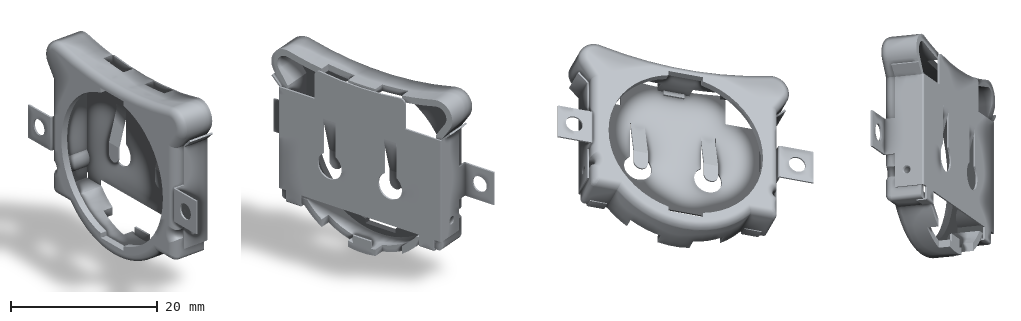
import cadquery as cq
import math


housing_depth = 5.45
wall = 1.0
front_edge_radius = 1.03
side_x = 13.35
waist_z = 8.45
foot_z = -8.95
foot_corner_radius = 0.5
lobe_x = 12.65
lobe_z = 11.8
lobe_radius = 2.45
crest_z = 12.75
bowl_z = -0.77
bowl_radius = 12.6
groove_x = 13.48
groove_z = -4.95
groove_radius = 0.75
window_radius = 11.1
slot_half_width = 2.5
slot_half_height = 11.5
catch_half_width = 1.5
catch_tip_z = 11.13
catch_thickness = 0.3
notch_inner_x = 2.28
notch_outer_x = 6.7
notch_depth = 1.6

sheet = 0.25
plate_back_y = 5.9
plate_front_y = plate_back_y - sheet
wall_outer_x = side_x + sheet
wall_front_y = 1.73
wall_bottom_z = -7.27
tongue_half_width = 7.53
tongue_inset = 0.25
tongue_corner_radius = 0.75
flare_reach = 1.45
leg_inner_x = 9.88
leg_outer_x = 12.3
hook_front_y = 4.4
hook_bottom_z = -9.1
hook_top_z = hook_bottom_z + sheet
terminal_end_x = 18.35
terminal_half_height = 2.55
terminal_hole_x = 16.0
terminal_hole_diameter = 2.4
finger_x = 5.05
finger_width = 2.02
finger_outer_gap = 0.1
finger_root_z = 5.8
finger_bend_z = 4.92
finger_flat_z = 0.35
finger_tip_z = -1.3
finger_slope = math.radians(15.5)
finger_hole_radius = 2.0
dimple_y = 3.4
dimple_radius = groove_radius - (groove_x - side_x)
dimple_hollow_radius = 0.45
dimple_mouth_radius = 0.6

crest_rise = crest_z - lobe_z
top_radius = (lobe_x**2 + crest_rise**2 - lobe_radius**2) / (2 * (lobe_radius - crest_rise))

SIDES = (-1, 1)


def front_plane(y):
    """Sketch plane facing -Y at depth y; extruding by a negative length goes towards +Y."""
    return cq.Workplane("XZ", origin=(0, y, 0))


def box(x_range, y_range, z_range):
    """Box spanning the three coordinate ranges."""
    (x0, x1), (y0, y1), (z0, z1) = x_range, y_range, z_range
    return cq.Workplane("XY").box(x1 - x0, y1 - y0, z1 - z0, centered=False).translate((x0, y0, z0))


def mirrored_pair(body):
    """The body and its mirror image on the other side of X = 0."""
    return body.union(body.mirror("YZ"))


def polar(centre, radius, angle):
    """Point at the given angle and distance from a centre."""
    return (centre[0] + radius * math.cos(angle), centre[1] + radius * math.sin(angle))


def housing_outline(inset):
    """Closed housing outline, moved inwards by `inset`."""
    side = side_x - inset
    foot = foot_z + inset
    lobe_r = lobe_radius - inset
    bowl_r = bowl_radius - inset
    groove_r = groove_radius + inset
    lobe = (lobe_x, lobe_z)

    top_angle = math.atan2(crest_z + top_radius - lobe_z, -lobe_x)

    waist_to_lobe = math.hypot(side_x - lobe_x, lobe_z - waist_z)
    neck_angle = math.atan2(waist_z - lobe_z, side_x - lobe_x) + math.acos(lobe_radius / waist_to_lobe)
    neck_x, neck_z = polar(lobe, lobe_r, neck_angle)
    waist = neck_z + (neck_x - side) / math.tan(neck_angle)

    groove_half = math.sqrt(groove_r**2 - (groove_x - side) ** 2)
    bowl_x = math.sqrt(bowl_r**2 - (bowl_z - foot) ** 2)
    lobe_top = polar(lobe, lobe_r, top_angle)
    lobe_mid = polar(lobe, lobe_r, (top_angle + neck_angle) / 2)

    def left(point):
        return (-point[0], point[1])

    return (
        front_plane(inset)
        .moveTo(*left(lobe_top))
        .threePointArc((0, crest_z - inset), lobe_top)
        .threePointArc(lobe_mid, (neck_x, neck_z))
        .lineTo(side, waist)
        .lineTo(side, groove_z + groove_half)
        .threePointArc((groove_x - groove_r, groove_z), (side, groove_z - groove_half))
        .lineTo(side, foot)
        .lineTo(bowl_x, foot)
        .threePointArc((0, bowl_z - bowl_r), (-bowl_x, foot))
        .lineTo(-side, foot)
        .lineTo(-side, groove_z - groove_half)
        .threePointArc((groove_r - groove_x, groove_z), (-side, groove_z + groove_half))
        .lineTo(-side, waist)
        .lineTo(-neck_x, neck_z)
        .threePointArc(left(lobe_mid), left(lobe_top))
        .close()
    )


def make_housing():
    """Shell with a round window in front, two notches per rim, hook recesses and two catches."""
    body = housing_outline(0).extrude(-housing_depth)
    reach = foot_corner_radius / 2
    for side in SIDES:
        corner = cq.selectors.BoxSelector(
            (side * side_x - reach, 0, foot_z - reach), (side * side_x + reach, housing_depth, foot_z + reach)
        )
        body = body.edges("|Y").edges(corner).fillet(foot_corner_radius)
    body = body.faces("<Y").edges().fillet(front_edge_radius)
    body = body.cut(housing_outline(wall).extrude(wall - housing_depth))
    body = body.cut(front_plane(0).circle(window_radius).extrude(-wall))
    slot_x = (-slot_half_width, slot_half_width)
    body = body.cut(box(slot_x, (0, wall), (-slot_half_height, slot_half_height)))
    for side in SIDES:
        notch_x = sorted((side * notch_inner_x, side * notch_outer_x))
        notch_y = (housing_depth - notch_depth, housing_depth)
        body = body.cut(box(notch_x, notch_y, (bowl_z - bowl_radius, lobe_z + lobe_radius)))
        recess_x = sorted((side * leg_inner_x, side * leg_outer_x))
        body = body.cut(box(recess_x, (hook_front_y, housing_depth), (foot_z, hook_top_z)))
    return body.union(make_catches())


def make_catches():
    """Thin lips at the back rim, above and below the cell."""
    catch_x = (-catch_half_width, catch_half_width)
    catch_y = (housing_depth - catch_thickness, housing_depth)
    upper = box(catch_x, catch_y, (catch_tip_z, crest_z - wall / 2))
    lower = box(catch_x, catch_y, (bowl_z - bowl_radius + wall / 2, -catch_tip_z))
    return upper.union(lower)


def make_channel():
    """Back plate and both side walls, with rounded bends between them."""
    bend_mid = sheet * math.sqrt(0.5)
    return (
        cq.Workplane("XY", origin=(0, 0, wall_bottom_z))
        .moveTo(side_x, wall_front_y)
        .lineTo(wall_outer_x, wall_front_y)
        .lineTo(wall_outer_x, plate_front_y)
        .threePointArc((side_x + bend_mid, plate_front_y + bend_mid), (side_x, plate_back_y))
        .lineTo(-side_x, plate_back_y)
        .threePointArc((-side_x - bend_mid, plate_front_y + bend_mid), (-wall_outer_x, plate_front_y))
        .lineTo(-wall_outer_x, wall_front_y)
        .lineTo(-side_x, wall_front_y)
        .lineTo(-side_x, plate_front_y)
        .lineTo(side_x, plate_front_y)
        .close()
        .extrude(waist_z - wall_bottom_z)
    )


def make_tongue():
    """Narrower top of the plate: it follows the concave top of the housing and has rounded corners."""
    arc_radius = top_radius + tongue_inset
    arc_centre_z = crest_z + top_radius
    corner_z = arc_centre_z - math.sqrt(arc_radius**2 - tongue_half_width**2)
    return (
        front_plane(plate_front_y)
        .moveTo(-tongue_half_width, waist_z)
        .lineTo(-tongue_half_width, corner_z)
        .threePointArc((0, crest_z - tongue_inset), (tongue_half_width, corner_z))
        .lineTo(tongue_half_width, waist_z)
        .close()
        .extrude(-sheet)
        .edges("|Y and >Z")
        .fillet(tongue_corner_radius)
    )


def make_flare():
    """Upper end of the +X side wall, bent outwards at 45 degrees."""
    tip_x = side_x + flare_reach
    tip_z = waist_z + flare_reach
    across = sheet * math.sqrt(0.5)
    bend_drop = sheet * (math.sqrt(2) - 1)
    return (
        front_plane(wall_front_y)
        .moveTo(side_x, waist_z)
        .lineTo(tip_x, tip_z)
        .lineTo(tip_x + across, tip_z - across)
        .lineTo(wall_outer_x, waist_z - bend_drop)
        .lineTo(side_x, waist_z - bend_drop)
        .close()
        .extrude(wall_front_y - plate_front_y)
    )


def make_terminal():
    """Solder terminal on the +X side: the wall runs forward and turns outwards, level with Y = 0."""
    terminal = (
        cq.Workplane("XY", origin=(0, 0, -terminal_half_height))
        .moveTo(side_x, wall_front_y)
        .lineTo(side_x, sheet)
        .radiusArc((wall_outer_x, 0), -sheet)
        .lineTo(terminal_end_x, 0)
        .lineTo(terminal_end_x, sheet)
        .lineTo(wall_outer_x, sheet)
        .lineTo(wall_outer_x, wall_front_y)
        .close()
        .extrude(2 * terminal_half_height)
    )
    hole = front_plane(0).center(terminal_hole_x, 0).circle(terminal_hole_diameter / 2).extrude(-sheet)
    return terminal.cut(hole)


def make_leg():
    """Foot of the plate on the +X side, ending in a hook that grips the foot of the housing."""
    return (
        cq.Workplane("YZ", origin=(leg_inner_x, 0, 0))
        .moveTo(plate_back_y, wall_bottom_z)
        .lineTo(plate_back_y, hook_top_z)
        .radiusArc((plate_front_y, hook_bottom_z), sheet)
        .lineTo(hook_front_y, hook_bottom_z)
        .lineTo(hook_front_y, hook_top_z)
        .lineTo(plate_front_y, hook_top_z)
        .lineTo(plate_front_y, wall_bottom_z)
        .close()
        .extrude(leg_outer_x - leg_inner_x)
    )


def make_finger_opening():
    """Opening punched in the plate around the +X finger."""
    finger_half = finger_width / 2
    x_range = (finger_x - finger_half, finger_x + finger_half + finger_outer_gap)
    slot = box(x_range, (plate_front_y, plate_back_y), (finger_tip_z, finger_root_z))
    hole = front_plane(plate_front_y).center(finger_x, finger_tip_z).circle(finger_hole_radius)
    return slot.union(hole.extrude(-sheet))


def make_finger():
    """Spring finger on the +X side: bends forward out of the plate, then runs parallel to it."""
    bend_radius = (finger_root_z - finger_bend_z) / math.sin(finger_slope)

    def bend_point(angle):
        drop = bend_radius * (1 - math.cos(angle))
        return (plate_front_y - drop, finger_root_z - bend_radius * math.sin(angle))

    def back(point):
        return (point[0] + sheet, point[1])

    finger_half = finger_width / 2
    end_z = finger_tip_z - finger_half
    root = bend_point(0)
    bend_mid = bend_point(finger_slope / 2)
    bend_end = bend_point(finger_slope)
    flat_y = bend_end[0] - (finger_bend_z - finger_flat_z) * math.tan(finger_slope)
    strip = (
        cq.Workplane("YZ", origin=(finger_x - finger_half, 0, 0))
        .moveTo(*root)
        .threePointArc(bend_mid, bend_end)
        .lineTo(flat_y, finger_flat_z)
        .lineTo(flat_y, end_z)
        .lineTo(flat_y + sheet, end_z)
        .lineTo(flat_y + sheet, finger_flat_z)
        .lineTo(*back(bend_end))
        .threePointArc(back(bend_mid), back(root))
        .close()
        .extrude(finger_width)
    )
    footprint = (
        front_plane(0)
        .center(finger_x, 0)
        .moveTo(-finger_half, finger_root_z)
        .lineTo(-finger_half, finger_tip_z)
        .threePointArc((0, end_z), (finger_half, finger_tip_z))
        .lineTo(finger_half, finger_root_z)
        .close()
        .extrude(-plate_back_y)
    )
    return strip.intersect(footprint)


def revolved_dimple(profile):
    """Turn a half profile, drawn with x outwards from the wall's inner face, about the dimple axis."""
    return profile.close().revolve(360, (0, 0), (1, 0)).translate((side_x, dimple_y, groove_z))


def make_dome():
    """Dome pressed inwards from the +X side wall, snapping into the housing groove."""
    return revolved_dimple(
        cq.Workplane("XY")
        .moveTo(sheet, 0)
        .lineTo(sheet, dimple_radius)
        .lineTo(0, dimple_radius)
        .radiusArc((-dimple_radius, 0), -dimple_radius)
    )


def make_dome_hollow():
    """Hollow behind the dome, with a flared mouth through the wall."""
    return revolved_dimple(
        cq.Workplane("XY")
        .moveTo(sheet, 0)
        .lineTo(sheet, dimple_mouth_radius)
        .lineTo(0, dimple_hollow_radius)
        .radiusArc((-dimple_hollow_radius, 0), -dimple_hollow_radius)
    )


def make_bracket():
    """Contact bracket: plate, side walls, terminals, legs, fingers and dimples in one sheet."""
    half = make_flare().union(make_terminal()).union(make_leg()).union(make_finger()).union(make_dome())
    body = make_channel().union(make_tongue()).cut(mirrored_pair(make_finger_opening()))
    return body.union(mirrored_pair(half)).cut(mirrored_pair(make_dome_hollow()))


housing = make_housing()
bracket = make_bracket()
result = cq.Compound.makeCompound([housing.solids().val(), bracket.solids().val()])